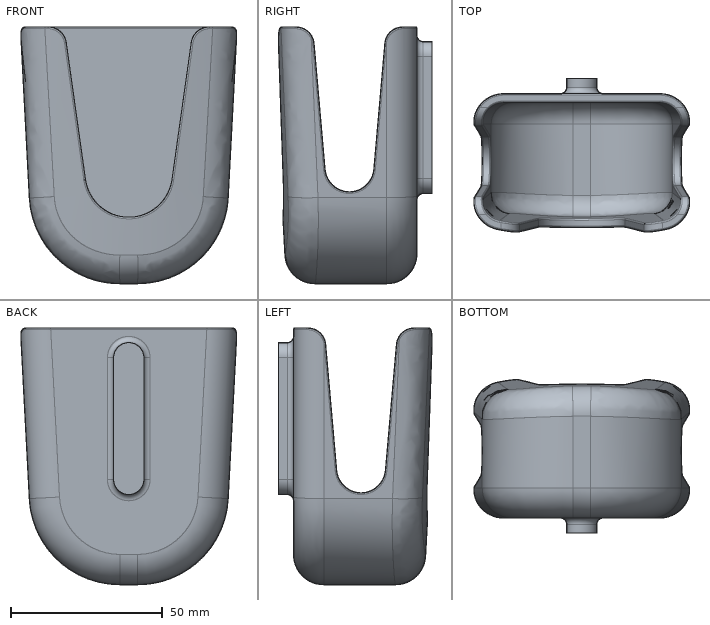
import cadquery as cq
import math

height = 84.5
wall = 2.95
draft = math.radians(3.0)
bottom_flat_half = 2.9
bottom_radius = 29.9
edge_radius = 10.0
front_foot = -43.0
front_bulge_radius = 143.65
rim_round = 0.5
touching = 0.01
clearance = 16.9

flare_radius = 6.0
front_opening_bottom = 21.9
front_opening_radius = 14.4
front_opening_lean = math.radians(8.0)
side_opening_bottom = 30.25
side_opening_radius = 8.0
side_opening_lean = math.radians(5.0)
side_opening_y = -22.2

boss_width = 10.0
boss_length = 50.0
boss_depth = 5.0
boss_center_z = 54.7
boss_foot_fillet = 2.0


def drafted_body(inset, top):
    """Solid inside the shell's outer surface moved inwards by `inset`, reaching up to Z = `top`."""
    arc_radius = bottom_radius - inset
    tangent_x = bottom_flat_half + arc_radius * math.cos(draft)
    tangent_z = bottom_radius - arc_radius * math.sin(draft)
    middle_angle = (math.pi / 2 - draft) / 2
    middle_x = bottom_flat_half + arc_radius * math.sin(middle_angle)
    middle_z = bottom_radius - arc_radius * math.cos(middle_angle)
    top_x = tangent_x + (top - tangent_z) * math.tan(draft)
    depth = clearance - front_foot
    outline = (
        cq.Workplane("XZ", origin=(0, -inset, 0))
        .moveTo(-bottom_flat_half, inset)
        .lineTo(bottom_flat_half, inset)
        .threePointArc((middle_x, middle_z), (tangent_x, tangent_z))
        .lineTo(top_x, top)
        .lineTo(-top_x, top)
        .lineTo(-tangent_x, tangent_z)
        .threePointArc((-middle_x, middle_z), (-bottom_flat_half, inset))
        .close()
        .extrude(depth)
    )
    front_cylinder = (
        cq.Workplane("XY", origin=(0, front_foot + front_bulge_radius, -height))
        .circle(front_bulge_radius - inset)
        .extrude(3 * height)
        .rotate((0, front_foot, 0), (1, front_foot, 0), math.degrees(draft))
    )
    body = outline.intersect(front_cylinder)
    return body.faces("<Y or >Y").edges("not >Z").fillet(edge_radius - inset)


def opening_outline(plane, origin, bottom, radius, lean):
    """U outline, symmetric about the plane's origin, whose leaning sides flare into the rim."""
    arc_center = bottom + radius
    low_x = radius * math.cos(lean)
    low_z = arc_center - radius * math.sin(lean)
    rim_x = low_x + (height - low_z) * math.tan(lean)
    flare_reach = flare_radius * math.tan((math.pi / 2 - lean) / 2)
    flare_x = rim_x + flare_reach
    flare_z = height - flare_radius
    high_x = flare_x - flare_radius * math.cos(lean)
    high_z = flare_z + flare_radius * math.sin(lean)
    middle_angle = (math.pi / 2 + lean) / 2
    middle_x = flare_x - flare_radius * math.cos(middle_angle)
    middle_z = flare_z + flare_radius * math.sin(middle_angle)
    top = height + clearance
    return (
        cq.Workplane(plane, origin=origin)
        .moveTo(-low_x, low_z)
        .threePointArc((0, bottom), (low_x, low_z))
        .lineTo(high_x, high_z)
        .threePointArc((middle_x, middle_z), (flare_x, height))
        .lineTo(flare_x, top)
        .lineTo(-flare_x, top)
        .lineTo(-flare_x, height)
        .threePointArc((-middle_x, middle_z), (-high_x, high_z))
        .close()
    )


def front_opening():
    """Cutter through the front wall only."""
    return opening_outline(
        "XZ", (0, side_opening_y, 0), front_opening_bottom, front_opening_radius, front_opening_lean
    ).extrude(height)


def side_openings():
    """Cutter through both side walls."""
    return opening_outline(
        "YZ", (0, side_opening_y, 0), side_opening_bottom, side_opening_radius, side_opening_lean
    ).extrude(height, both=True)


def mounting_boss():
    """Upright bar with round ends; it starts inside the back wall so that it joins the shell."""
    return (
        cq.Workplane("XZ", origin=(0, -wall / 2, boss_center_z))
        .slot2D(boss_length, boss_width, 90)
        .extrude(-(boss_depth + wall / 2))
    )


def rim_edges(shell, opened_body, cutters):
    """Edges along both sides of the wall's rim, without the seams that run across the rim."""
    wall_surfaces = cq.Compound.makeCompound(opened_body.faces("not >Z").vals())
    edges = []
    for edge in shell.edges().vals():
        middle = edge.positionAt(0.5)
        point = cq.Vertex.makeVertex(*middle.toTuple())
        on_top = middle.z > height - touching
        on_opening = cutters.val().distance(point) < touching
        if (on_top or on_opening) and wall_surfaces.distance(point) < touching:
            edges.append(edge)
    return edges


def holder_body():
    """Cup with a front and two side openings, rounded rim and a boss blended into its back."""
    cup = drafted_body(0, height).cut(drafted_body(wall, height + clearance))
    cutters = front_opening().union(side_openings())
    shell = cup.cut(cutters)
    shell = shell.newObject(rim_edges(shell, cup, cutters)).fillet(rim_round)
    joined = shell.union(mounting_boss())
    foot_reach = boss_length / 2 + touching
    boss_foot = cq.selectors.BoxSelector(
        (-boss_width, -touching, boss_center_z - foot_reach),
        (boss_width, touching, boss_center_z + foot_reach),
    )
    return joined.edges(boss_foot).fillet(boss_foot_fillet)


holder = holder_body()
result = cq.Compound.makeCompound([holder.val()])